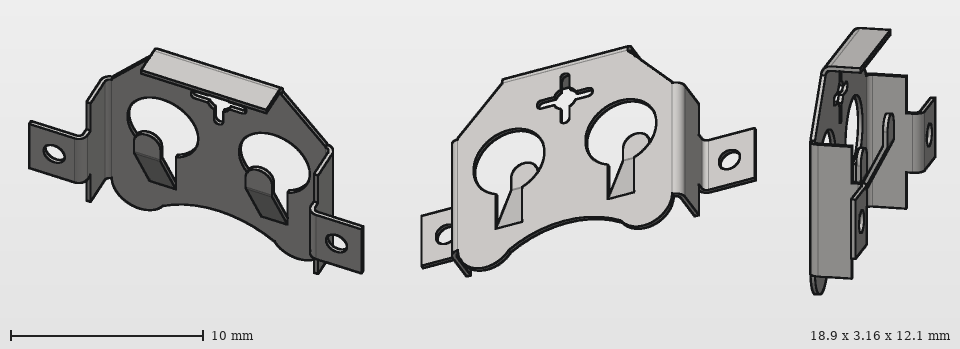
import cadquery as cq
import math


length = 18.95
depth = 3.16
sheet = 0.25
bend_inner = 0.27
bend_outer = bend_inner + sheet
top_z = 6.94
bottom_z = -5.12

plate_half = 6.1
shoulder_z = 3.64
lobe_radius = 1.6
lobe_x = plate_half - lobe_radius
lobe_z = bottom_z + lobe_radius
arch_top_z = -3.47
tab_width = 7.15
tab_depth = 2.1
tab_bend_z = top_z - bend_outer

wing_x = plate_half + bend_outer
wing_height = tab_width
wing_depth = 2.3
lug_height = 3.2
lug_hole_diameter = 1.2
lug_hole_x = 8.05

spring_x = 3.18
spring_width = 1.5
spring_root_z = -2.88
spring_bend_z = 0.9
spring_tip_z = 2.48
spring_depth = 2.2
spring_bend_inner = 0.13
spring_tip_radius = spring_width / 2 - 0.002
window_diameter = 4.04
window_z = 1.29

plus_z = 4.4
plus_span = 3.16
plus_arm_width = 0.51
plus_hub_diameter = 1.3

diagonal = math.sqrt(0.5)


def make_plate():
    junction_x = spring_x
    junction_z = lobe_z - math.sqrt(lobe_radius**2 - (lobe_x - junction_x) ** 2)
    return (
        cq.Workplane("XZ")
        .moveTo(-tab_width / 2, tab_bend_z)
        .lineTo(tab_width / 2, tab_bend_z)
        .lineTo(plate_half, shoulder_z)
        .lineTo(plate_half, lobe_z)
        .threePointArc((lobe_x, bottom_z), (junction_x, junction_z))
        .threePointArc((0, arch_top_z), (-junction_x, junction_z))
        .threePointArc((-lobe_x, bottom_z), (-plate_half, lobe_z))
        .lineTo(-plate_half, shoulder_z)
        .close()
        .extrude(sheet)
    )


def make_flange(plane, edge, reach, width):
    """Quarter bend at the plate edge followed by a flat flange, centred on the plane."""
    outer = edge + bend_outer
    inner = edge + bend_inner
    return (
        cq.Workplane(plane)
        .moveTo(edge, 0)
        .threePointArc(
            (edge + bend_outer * diagonal, -bend_outer * (1 - diagonal)),
            (outer, -bend_outer),
        )
        .lineTo(outer, -reach)
        .lineTo(inner, -reach)
        .lineTo(inner, -bend_outer)
        .threePointArc(
            (edge + bend_inner * diagonal, -bend_outer + bend_inner * diagonal),
            (edge, -sheet),
        )
        .close()
        .extrude(width / 2, both=True)
    )


def make_lug():
    """Lug on the +X side: a neck continuing the wing, a quarter bend and a drilled pad."""
    wing_inner_x = wing_x - sheet
    bend_x = wing_inner_x + bend_outer
    bend_y = -(depth - bend_outer)
    lug = (
        cq.Workplane("XY")
        .moveTo(wing_x, -wing_depth)
        .lineTo(wing_x, bend_y)
        .threePointArc(
            (bend_x - bend_inner * diagonal, bend_y - bend_inner * diagonal),
            (bend_x, bend_y - bend_inner),
        )
        .lineTo(length / 2, -depth + sheet)
        .lineTo(length / 2, -depth)
        .lineTo(bend_x, -depth)
        .threePointArc(
            (bend_x - bend_outer * diagonal, bend_y - bend_outer * diagonal),
            (wing_inner_x, bend_y),
        )
        .lineTo(wing_inner_x, -wing_depth)
        .close()
        .extrude(lug_height / 2, both=True)
    )
    hole = cq.Workplane("XZ").center(lug_hole_x, 0).circle(lug_hole_diameter / 2).extrude(depth)
    return lug.cut(hole)


def make_window(x):
    """Round window with a slot running down to the root of the spring."""
    window = cq.Workplane("XZ").center(x, window_z).circle(window_diameter / 2).extrude(sheet)
    slot_height = window_z - spring_root_z
    slot = (
        cq.Workplane("XZ")
        .center(x, window_z - slot_height / 2)
        .rect(spring_width, slot_height)
        .extrude(sheet)
    )
    return window.union(slot)


def make_spring(x):
    """Leaf that leans forward from the plate and ends in an upright round tip."""
    lean = math.atan2(spring_depth - sheet, spring_bend_z - spring_root_z)
    back_bend_z = spring_bend_z + sheet * math.tan(lean / 2)
    back_bend_y = -spring_depth + sheet
    back_root_z = back_bend_z + back_bend_y / math.tan(lean)
    bend_edge_front = cq.selectors.NearestToPointSelector((x, -spring_depth, spring_bend_z))
    bend_edge_back = cq.selectors.NearestToPointSelector((x, back_bend_y, back_bend_z))
    return (
        cq.Workplane("YZ", origin=(x, 0, 0))
        .moveTo(0, spring_root_z)
        .lineTo(-sheet, spring_root_z)
        .lineTo(-spring_depth, spring_bend_z)
        .lineTo(-spring_depth, spring_tip_z)
        .lineTo(back_bend_y, spring_tip_z)
        .lineTo(back_bend_y, back_bend_z)
        .lineTo(0, back_root_z)
        .close()
        .extrude(spring_width / 2, both=True)
        .edges(bend_edge_front)
        .fillet(spring_bend_inner + sheet)
        .edges(bend_edge_back)
        .fillet(spring_bend_inner)
        .edges("|Y and >Z")
        .fillet(spring_tip_radius)
    )


def make_plus():
    sketch = cq.Workplane("XZ").center(0, plus_z)
    plus = sketch.circle(plus_hub_diameter / 2).extrude(sheet)
    for angle in (0, 90):
        plus = plus.union(sketch.slot2D(plus_span, plus_arm_width, angle).extrude(sheet))
    return plus


result = make_plate().cut(make_plus())
for x in (-spring_x, spring_x):
    result = result.cut(make_window(x)).union(make_spring(x))

result = result.union(make_flange("ZY", tab_bend_z, tab_depth, tab_width))

side = make_flange("XY", plate_half, wing_depth, wing_height).union(make_lug())
result = result.union(side).union(side.mirror("YZ"))